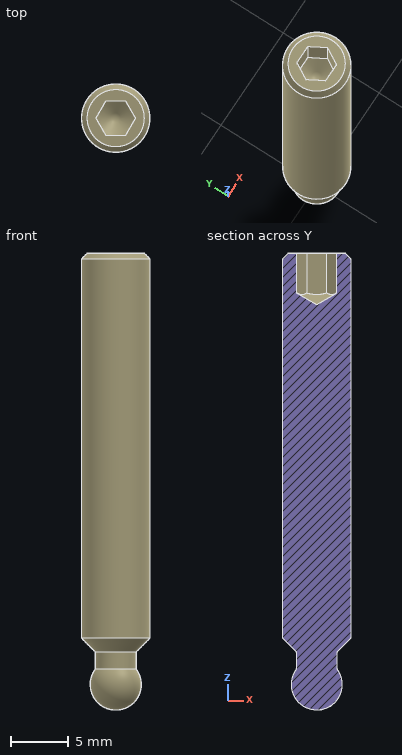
import cadquery as cq
import math

total_length = 40.0
shank_radius = 3.0
top_chamfer = 0.5

ball_radius = 2.25
neck_radius = 1.8
neck_top_z = 5.1

taper_height = shank_radius - neck_radius
taper_top_z = neck_top_z + taper_height

ball_center_z = ball_radius
ball_neck_z = ball_center_z + math.sqrt(ball_radius**2 - neck_radius**2)

socket_across_flats = 3.0
socket_depth = 3.5
socket_tip_angle = 120.0
socket_corner_radius = socket_across_flats / math.sqrt(3)
socket_tip_depth = socket_corner_radius / math.tan(math.radians(socket_tip_angle / 2))


def make_body():
    """Shank, taper, neck and ball as one half outline turned about Z."""
    return (
        cq.Workplane("XZ")
        .moveTo(0, 0)
        .threePointArc((ball_radius, ball_center_z), (neck_radius, ball_neck_z))
        .lineTo(neck_radius, neck_top_z)
        .lineTo(shank_radius, taper_top_z)
        .lineTo(shank_radius, total_length - top_chamfer)
        .lineTo(shank_radius - top_chamfer, total_length)
        .lineTo(0, total_length)
        .close()
        .revolve(360, (0, 0), (0, 1))
    )


def make_socket():
    """Hexagonal prism with corners on the X axis, ending in a conical drill point."""
    full_depth = socket_depth + socket_tip_depth
    prism = (
        cq.Workplane("XY")
        .workplane(offset=total_length - full_depth)
        .polygon(6, 2 * socket_corner_radius)
        .extrude(full_depth)
    )
    drill = (
        cq.Workplane("XZ")
        .moveTo(0, total_length - full_depth)
        .lineTo(socket_corner_radius, total_length - socket_depth)
        .lineTo(socket_corner_radius, total_length)
        .lineTo(0, total_length)
        .close()
        .revolve(360, (0, 0), (0, 1))
    )
    return prism.intersect(drill)


result = make_body().cut(make_socket())